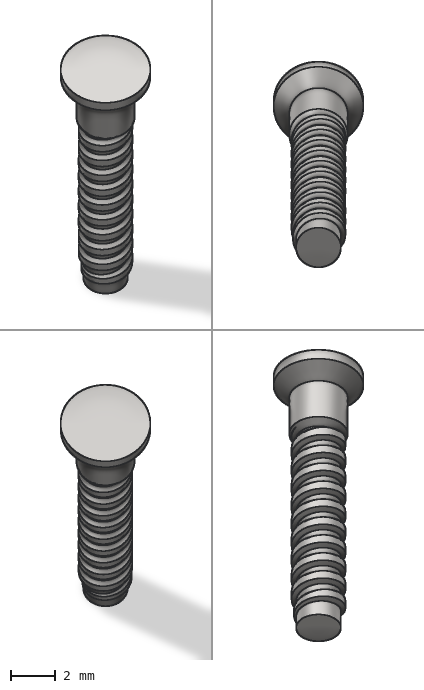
import cadquery as cq
import math

total_length = 14.0
head_diameter = 4.0
shank_diameter = 2.6
core_diameter = 2.0
head_rim_height = 0.5
shank_length = 2.0

head_radius = head_diameter / 2
shank_radius = shank_diameter / 2
core_radius = core_diameter / 2

head_rim_bottom = total_length - head_rim_height
shank_top = head_rim_bottom - (head_radius - shank_radius)
shank_bottom = shank_top - shank_length
core_top = shank_bottom - (shank_radius - core_radius)

pitches_in_length = 14
pitch = total_length / pitches_in_length
crest_radius = 1.2
crest_width = 0.4
core_width = 0.71
root_overlap = 0.07
thread_start_height = 1.18
full_turns = 10
run_out_turns = 0.66
run_out_crest_height = 0.007
run_out_crest_radius = core_radius + run_out_crest_height
run_out_width_ratio = 0.5
points_per_turn = 24

flank_slope = (core_width - crest_width) / (crest_radius - core_radius)
root_radius = core_radius - root_overlap
root_width = core_width + flank_slope * root_overlap


def thread_profile(turn):
    """Corners of the thread section at a number of turns from the start."""
    fade = max(0.0, -turn / run_out_turns)
    outer_radius = crest_radius + fade * (run_out_crest_radius - crest_radius)
    outer_width = crest_width * (1 + fade * (run_out_width_ratio - 1))
    inner_width = outer_width + (root_width - crest_width) * (
        (outer_radius - root_radius) / (crest_radius - root_radius)
    )
    angle = 2 * math.pi * turn
    center_height = thread_start_height + pitch * turn
    section = [
        (root_radius, -inner_width / 2),
        (outer_radius, -outer_width / 2),
        (outer_radius, outer_width / 2),
        (root_radius, inner_width / 2),
    ]
    return [
        cq.Vector(radius * math.cos(angle), radius * math.sin(angle), center_height + offset)
        for radius, offset in section
    ]


def thread_length(first_turn, last_turn):
    """Solid thread between two turns, with ruled sides and flat ends."""
    steps = math.ceil((last_turn - first_turn) * points_per_turn)
    turns = [first_turn + (last_turn - first_turn) * step / steps for step in range(steps + 1)]
    profiles = [thread_profile(turn) for turn in turns]
    edges = [cq.Edge.makeSpline(list(path)) for path in zip(*profiles)]
    faces = [
        cq.Face.makeRuledSurface(edge, edges[(index + 1) % len(edges)])
        for index, edge in enumerate(edges)
    ]
    for profile in (profiles[0], profiles[-1]):
        faces.append(cq.Face.makeFromWires(cq.Wire.makePolygon(profile, close=True)))
    return cq.Solid.makeSolid(cq.Shell.makeShell(faces)).fix()


body = (
    cq.Workplane("XZ")
    .moveTo(0, 0)
    .lineTo(core_radius, 0)
    .lineTo(core_radius, core_top)
    .lineTo(shank_radius, shank_bottom)
    .lineTo(shank_radius, shank_top)
    .lineTo(head_radius, head_rim_bottom)
    .lineTo(head_radius, total_length)
    .lineTo(0, total_length)
    .close()
    .revolve(360, (0, 0, 0), (0, 1, 0))
)

full_thread = thread_length(0, full_turns)
run_out = thread_length(-run_out_turns, 0)
result = body.union(full_thread).union(run_out)